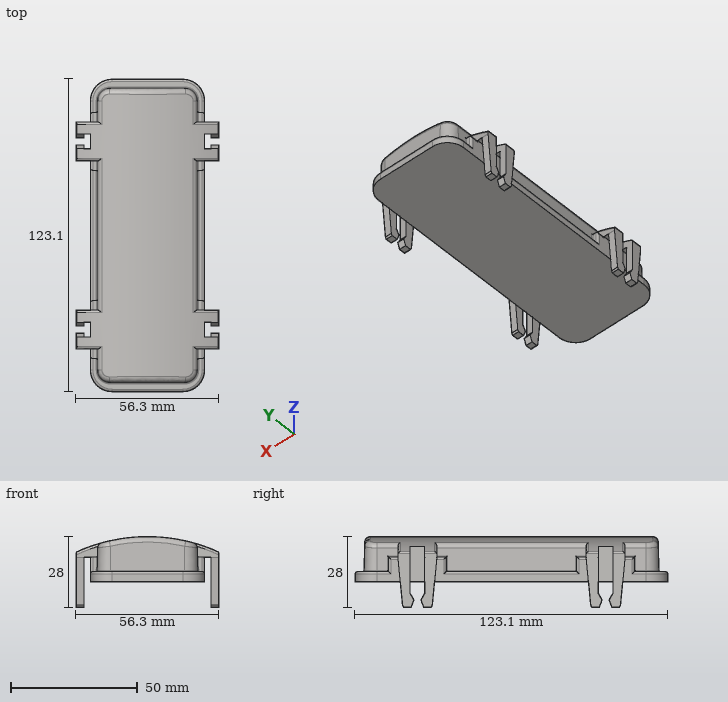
import cadquery as cq
import math

overall_width = 56.3
overall_height = 28.0

rim_length = 123.1
rim_width = 45.0
rim_height = 4.1
rim_corner = 8.6
rim_round = 1.0

body_length = 116.5
body_width = 39.9
body_corner = 5.3
body_round = 2.2
body_draft = 1.5
foot_fillet = 0.4
crown_height = 17.9
crown_radius = 67.3

latch_y = 37.0
latch_width = 15.4
latch_reach = overall_width / 2
arm_underside = 9.6
arm_round = 1.0
slot_width = 5.7

block_width = 22.8
block_height = 9.8

leg_thickness = 3.2
leg_bottom = crown_height - overall_height
leg_chamfer_height = 0.9
leg_toe_outer = 5.4
leg_ankle_outer = 5.9
leg_toe_inner = 2.5
hook_start = -4.5
hook_tip_z = -7.1
hook_tip = 1.4

half_length = rim_length / 2
half_rim_width = rim_width / 2
sides = (-1, 1)
stock_height = crown_height + 1.2
selection_margin = 0.1


def centered_box(size_x, size_y, z_low, z_high, x=0.0, y=0.0):
    """Box centred on (x, y) that spans z_low to z_high."""
    box = cq.Workplane("XY").box(size_x, size_y, z_high - z_low, centered=(True, True, False))
    return box.translate((x, y, z_low))


def make_crown():
    """Space beneath the crowned top, wider than the part and as long."""
    half_width = rim_width
    edge_z = crown_height - crown_radius + math.sqrt(crown_radius**2 - half_width**2)
    return (
        cq.Workplane("XZ")
        .moveTo(-half_width, leg_bottom)
        .lineTo(-half_width, edge_z)
        .threePointArc((0, crown_height), (half_width, edge_z))
        .lineTo(half_width, leg_bottom)
        .close()
        .extrude(half_length, both=True)
    )


crown = make_crown()


def make_body():
    """Crowned, slightly drafted body with rounded corners and a rounded top edge."""
    outline = cq.Sketch().rect(body_width, body_length).vertices().fillet(body_corner)
    block = cq.Workplane("XY").placeSketch(outline).extrude(stock_height, taper=body_draft)
    return block.intersect(crown).faces(">Z").edges().fillet(body_round)


def make_rim():
    """Rim plate with its raised blocks; the outer edge is rounded all along."""
    rim = centered_box(rim_width, rim_length, 0, rim_height).edges("|Z").fillet(rim_corner)
    for y_side in sides:
        rim = rim.union(centered_box(rim_width, block_width, 0, block_height, y=y_side * latch_y))
    above_plate = cq.selectors.BoxSelector(
        (-rim_width, -rim_length, rim_height - selection_margin),
        (rim_width, rim_length, block_height + selection_margin),
    )
    return rim.edges(above_plate).edges("not |X").fillet(rim_round)


def fillet_foot(cover):
    """Fillet where the body rises from the rim and its blocks.

    The straight side edges are picked; the fillet runs on around the ends by tangency.
    """
    reach_x = body_width / 2 + selection_margin
    reach_y = body_length / 2 - body_corner - selection_margin
    side_edges = cq.selectors.BoxSelector(
        (-reach_x, -reach_y, rim_height - selection_margin),
        (reach_x, reach_y, block_height + selection_margin),
    )
    return cover.edges(side_edges).fillet(foot_fillet)


def make_arms():
    """Arms of the two latches at Y = 0: one slotted bar across the part with rounded top edges.

    A solid root within the rim joins the bar to the rim and closes the inner end of each slot.
    """
    bar = centered_box(2 * latch_reach, latch_width, arm_underside, stock_height)
    bar = bar.intersect(crown).faces(">Z").edges().fillet(arm_round)
    slot_depth = latch_reach - half_rim_width
    for x_side in sides:
        slot_x = x_side * (half_rim_width + slot_depth / 2)
        bar = bar.cut(centered_box(slot_depth, slot_width, 0, crown_height, x=slot_x))
    root = centered_box(rim_width, latch_width, 0, arm_underside)
    return bar.union(root)


def make_leg(x_side, y_side):
    """Tapered leg on one side of the slot of a latch at Y = 0."""
    profile = [
        (latch_width / 2, arm_underside),
        (leg_ankle_outer, leg_bottom + leg_chamfer_height),
        (leg_toe_outer, leg_bottom),
        (leg_toe_inner, leg_bottom),
        (hook_tip, hook_tip_z),
        (slot_width / 2, hook_start),
        (slot_width / 2, arm_underside),
    ]
    points = [(y_side * y, z) for y, z in profile]
    leg = cq.Workplane("YZ").polyline(points).close().extrude(leg_thickness / 2, both=True)
    return leg.translate((x_side * (latch_reach - leg_thickness / 2), 0, 0))


latches = make_arms()
for x_side in sides:
    for y_side in sides:
        latches = latches.union(make_leg(x_side, y_side))

result = fillet_foot(make_rim().union(make_body()))
for y_side in sides:
    result = result.union(latches.translate((0, y_side * latch_y, 0)))